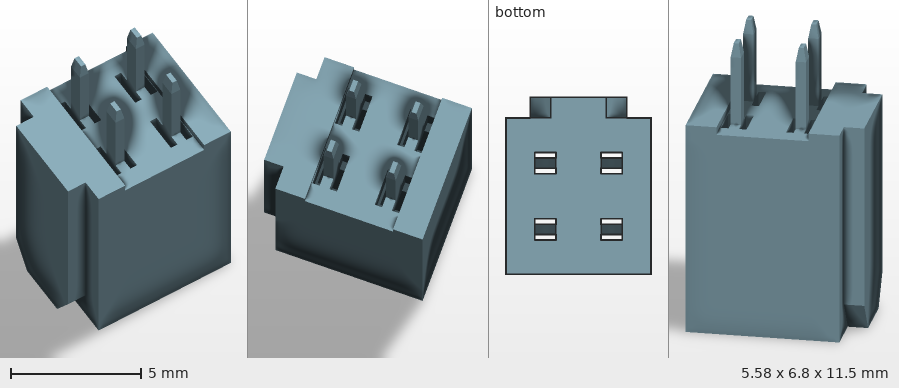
import cadquery as cq

width = 5.58
total_depth = 6.8
total_height = 11.5

housing_depth = 6.0
housing_height = 8.5
recess_width = 3.59
recess_depth = 0.31
recess_floor = housing_height - recess_depth

key_width = 3.7
key_depth = total_depth - housing_depth
key_taper_inset = 0.78
key_taper_height = 1.21

pitch = 2.54
contacts_per_side = 2
pin_width = 0.63
pin_thickness = 0.4
pin_tip_width = 0.46
pin_tip_thickness = 0.2
pin_tip_height = 0.55

slot_length = 1.5
slot_pair_span = 1.0
slot_depth = 1.0
slot_floor = recess_floor - slot_depth
slot_width = (slot_pair_span - pin_thickness) / 2
slot_offset = (pin_thickness + slot_width) / 2
socket_size = 0.8


def contact_grid(z):
    """Workplane at height z with a point at each contact."""
    return cq.Workplane("XY", origin=(0, 0, z)).rarray(pitch, pitch, contacts_per_side, contacts_per_side)


def make_housing():
    """Rectangular block with a shallow channel along X in its top face."""
    block = cq.Workplane("XY").box(width, housing_depth, housing_height, centered=(True, True, False))
    channel = (
        cq.Workplane("XY", origin=(0, 0, recess_floor))
        .box(width, recess_width, recess_depth, centered=(True, True, False))
    )
    return block.cut(channel)


def make_key():
    """Raised key with both lower corners cut off at a slant."""
    half_width = key_width / 2
    half_foot = half_width - key_taper_inset
    return (
        cq.Workplane("XZ", origin=(0, -housing_depth / 2, 0))
        .polyline([
            (-half_foot, 0),
            (half_foot, 0),
            (half_width, key_taper_height),
            (half_width, housing_height),
            (-half_width, housing_height),
            (-half_width, key_taper_height),
        ])
        .close()
        .extrude(key_depth)
    )


def make_sockets():
    """Square sockets that rise from the underside to the slot floors."""
    return contact_grid(0).rect(socket_size, socket_size).extrude(slot_floor)


def make_slots(side):
    """Slots on one Y side of every contact, leaving a bridge under each pin."""
    slots = contact_grid(slot_floor).rect(slot_length, slot_width).extrude(slot_depth)
    return slots.translate((0, side * slot_offset, 0))


def make_pins():
    """Straight pins that pass up through the bridges, each with a tapered tip."""
    shoulder = total_height - pin_tip_height
    shafts = contact_grid(slot_floor).rect(pin_width, pin_thickness).extrude(shoulder - slot_floor)
    tip = (
        cq.Workplane("XY", origin=(0, 0, shoulder))
        .rect(pin_width, pin_thickness)
        .workplane(offset=pin_tip_height)
        .rect(pin_tip_width, pin_tip_thickness)
        .loft(ruled=True)
        .val()
    )
    tips = contact_grid(0).eachpoint(lambda location: tip.moved(location))
    return shafts.union(tips)


result = make_housing().union(make_key()).cut(make_sockets())
for side in (-1, 1):
    result = result.cut(make_slots(side))
result = result.union(make_pins())